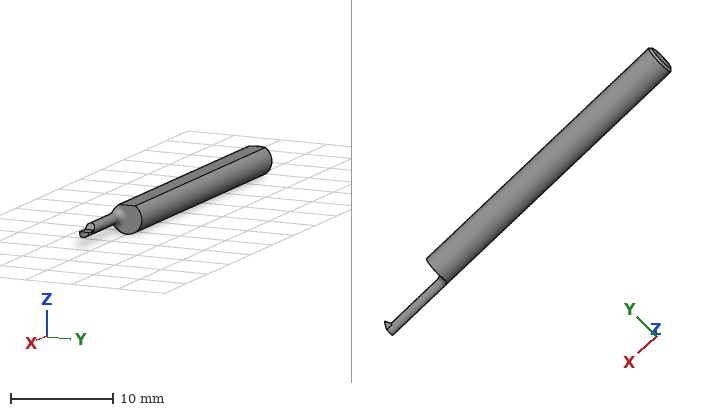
import cadquery as cq
import math

TOTAL_LENGTH = 38.1
SHANK_LENGTH = 30.48
SHANK_DIAMETER = 3.175
SHANK_HEIGHT = 2.91
REAR_CHAMFER = 0.25

NECK_DIAMETER = 1.1
NECK_INNER_Y = -0.63
NECK_ROOT_FILLET = 0.65

HEAD_TOP_Z = 0.0
HEAD_LENGTH = 1.3
TOOTH_POINT_Y = -0.05
TOOTH_ANGLE = 60.0
TOOTH_POINT_FLAT = 0.05

SHANK_RADIUS = SHANK_DIAMETER / 2
FLAT_Z = SHANK_HEIGHT - SHANK_RADIUS
NECK_RADIUS = NECK_DIAMETER / 2
NECK_CENTER_Y = NECK_INNER_Y - NECK_RADIUS


def bar(length):
    """Round bar of shank diameter starting at the rear end."""
    return cq.Workplane("YZ").circle(SHANK_RADIUS).extrude(length)


def make_shank():
    """Chamfered round shank with a flat along its top."""
    shank = bar(SHANK_LENGTH).faces("<X").chamfer(REAR_CHAMFER)
    above_flat = cq.Workplane("XY").box(
        SHANK_LENGTH, SHANK_DIAMETER, SHANK_DIAMETER, centered=(False, True, False)
    )
    return shank.cut(above_flat.translate((0, 0, FLAT_Z)))


def make_neck():
    """Round neck flaring into the shank face, trimmed to the shank surface."""
    root_radius = NECK_RADIUS + NECK_ROOT_FILLET
    arc_offset = NECK_ROOT_FILLET * (1 - math.sqrt(0.5))
    neck = (
        cq.Workplane("XY")
        .moveTo(SHANK_LENGTH, 0)
        .lineTo(SHANK_LENGTH, root_radius)
        .threePointArc(
            (SHANK_LENGTH + arc_offset, NECK_RADIUS + arc_offset),
            (SHANK_LENGTH + NECK_ROOT_FILLET, NECK_RADIUS),
        )
        .lineTo(TOTAL_LENGTH, NECK_RADIUS)
        .lineTo(TOTAL_LENGTH, 0)
        .close()
        .revolve(360, (0, 0, 0), (1, 0, 0))
        .translate((0, NECK_CENTER_Y, 0))
    )
    return neck.intersect(bar(TOTAL_LENGTH))


def cut_head_top(neck):
    """Remove the upper half of the head, ending in a 45 degree ramp."""
    ramp_foot_x = TOTAL_LENGTH - HEAD_LENGTH
    removed = (
        cq.Workplane("XZ")
        .moveTo(ramp_foot_x, HEAD_TOP_Z)
        .lineTo(TOTAL_LENGTH, HEAD_TOP_Z)
        .lineTo(TOTAL_LENGTH, HEAD_TOP_Z + NECK_DIAMETER)
        .lineTo(ramp_foot_x - NECK_DIAMETER, HEAD_TOP_Z + NECK_DIAMETER)
        .close()
        .extrude(SHANK_RADIUS, both=True)
    )
    return neck.cut(removed)


def make_tooth():
    """Pointed cutting tooth on the +Y side of the head, flush with its end."""
    height = TOOTH_POINT_Y - NECK_INNER_Y
    flank_run = height * math.tan(math.radians(TOOTH_ANGLE / 2))
    front_x = TOTAL_LENGTH
    point_front_x = front_x - flank_run
    point_back_x = point_front_x - TOOTH_POINT_FLAT
    back_x = point_back_x - flank_run
    tooth = (
        cq.Workplane("XY", origin=(0, 0, -NECK_RADIUS))
        .moveTo(front_x, NECK_CENTER_Y)
        .lineTo(front_x, NECK_INNER_Y)
        .lineTo(point_front_x, TOOTH_POINT_Y)
        .lineTo(point_back_x, TOOTH_POINT_Y)
        .lineTo(back_x, NECK_INNER_Y)
        .lineTo(back_x, NECK_CENTER_Y)
        .close()
        .extrude(HEAD_TOP_Z + NECK_RADIUS)
    )
    relief_wedge = (
        cq.Workplane("YZ", origin=(back_x, 0, 0))
        .moveTo(NECK_CENTER_Y, HEAD_TOP_Z)
        .lineTo(TOOTH_POINT_Y, HEAD_TOP_Z)
        .lineTo(NECK_CENTER_Y, -NECK_RADIUS)
        .close()
        .extrude(front_x - back_x)
    )
    return tooth.intersect(relief_wedge)


result = make_shank().union(cut_head_top(make_neck())).union(make_tooth())